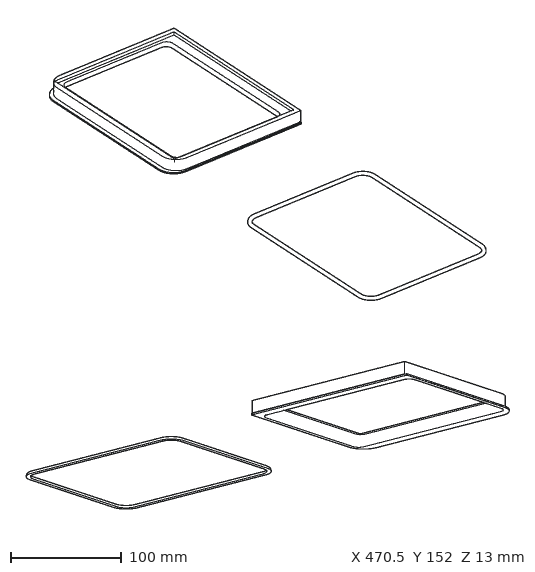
import cadquery as cq

TOTAL_LENGTH = 470.5
FRAME_LENGTH = 187.0
FRAME_DEPTH = 152.0
FRAME_HEIGHT = 13.0

FLANGE_THICKNESS = 1.5
FLANGE_SIDE_OVERHANG = 1.65
FLANGE_FRONT_OVERHANG = 4.0
FLANGE_BACK_INSET = 1.0
FLANGE_CORNER_RADIUS = 17.5

BODY_LENGTH = FRAME_LENGTH - 2 * FLANGE_SIDE_OVERHANG
BODY_DEPTH = FRAME_DEPTH - FLANGE_FRONT_OVERHANG
BODY_CORNER_RADIUS = 16.0

SIDE_WALL = 5.0
FRONT_WALL = 5.5
BACK_WALL = 4.0
RECESS_DEPTH = 3.5
RECESS_LENGTH = BODY_LENGTH - 2 * SIDE_WALL
RECESS_WIDTH = BODY_DEPTH - FRONT_WALL - BACK_WALL

WINDOW_SIDE_MARGIN = 10.5
WINDOW_END_MARGIN = 14.0
WINDOW_CORNER_RADIUS = 7.0
WINDOW_SIDE_FLARE = 6.0
WINDOW_END_FLARE = 4.0
WINDOW_LENGTH = FRAME_LENGTH - 2 * WINDOW_SIDE_MARGIN
WINDOW_DEPTH = FRAME_DEPTH - 2 * WINDOW_END_MARGIN
WINDOW_HEIGHT = FRAME_HEIGHT - RECESS_DEPTH

RING_LENGTH = 185.0
RING_DEPTH = 144.0
RING_SECTION_WIDTH = 4.0
RING_SIDE_HEIGHT = 1.0
RING_CORNER_RADIUS = 15.0
RING_FRONT_OFFSET = 3.0


def block(length, depth, height, front, bottom):
    """Box centred on the frame in X, with its front and bottom faces placed."""
    return (
        cq.Workplane("XY")
        .box(length, depth, height, centered=(True, False, False))
        .translate((FRAME_LENGTH / 2, front, bottom))
    )


def rounded_rectangle(length, depth):
    """Window outline centred on the origin, with rounded corners."""
    return cq.Sketch().rect(length, depth).vertices().fillet(WINDOW_CORNER_RADIUS)


def make_window_cutter():
    """Flared plug that opens the window from the underside to the recess floor."""
    bottom_outline = rounded_rectangle(
        WINDOW_LENGTH + 2 * WINDOW_SIDE_FLARE,
        WINDOW_DEPTH + 2 * WINDOW_END_FLARE,
    )
    top_outline = rounded_rectangle(WINDOW_LENGTH, WINDOW_DEPTH)
    return (
        cq.Workplane("XY", origin=(FRAME_LENGTH / 2, FRAME_DEPTH / 2, 0))
        .placeSketch(bottom_outline, top_outline.moved(cq.Location(cq.Vector(0, 0, WINDOW_HEIGHT))))
        .loft(ruled=True)
    )


def make_frame():
    flange = block(FRAME_LENGTH, FRAME_DEPTH - FLANGE_BACK_INSET, FLANGE_THICKNESS, 0, 0)
    flange = flange.edges("|Z and <Y").fillet(FLANGE_CORNER_RADIUS)

    body = block(
        BODY_LENGTH,
        BODY_DEPTH,
        FRAME_HEIGHT - FLANGE_THICKNESS,
        FLANGE_FRONT_OVERHANG,
        FLANGE_THICKNESS,
    )
    body = body.edges("|Z and <Y").fillet(BODY_CORNER_RADIUS)

    recess = block(
        RECESS_LENGTH,
        RECESS_WIDTH,
        RECESS_DEPTH,
        FLANGE_FRONT_OVERHANG + FRONT_WALL,
        FRAME_HEIGHT - RECESS_DEPTH,
    )

    return flange.union(body).cut(recess).cut(make_window_cutter())


def make_ring():
    """Round-topped section swept around a rounded rectangle, resting at Z = 0."""
    section_radius = RING_SECTION_WIDTH / 2
    half_length = RING_LENGTH / 2 - section_radius
    half_depth = RING_DEPTH / 2 - section_radius
    bend_radius = RING_CORNER_RADIUS - section_radius
    straight_x = half_length - bend_radius
    straight_y = half_depth - bend_radius

    path = (
        cq.Workplane("XY")
        .moveTo(0, -half_depth)
        .lineTo(straight_x, -half_depth)
        .radiusArc((half_length, -straight_y), -bend_radius)
        .lineTo(half_length, straight_y)
        .radiusArc((straight_x, half_depth), -bend_radius)
        .lineTo(-straight_x, half_depth)
        .radiusArc((-half_length, straight_y), -bend_radius)
        .lineTo(-half_length, -straight_y)
        .radiusArc((-straight_x, -half_depth), -bend_radius)
        .close()
    )
    section = (
        cq.Workplane("YZ")
        .center(-half_depth, 0)
        .moveTo(-section_radius, 0)
        .lineTo(section_radius, 0)
        .lineTo(section_radius, RING_SIDE_HEIGHT)
        .threePointArc((0, RING_SIDE_HEIGHT + section_radius), (-section_radius, RING_SIDE_HEIGHT))
        .close()
    )
    ring_center = (
        TOTAL_LENGTH - RING_LENGTH / 2,
        RING_FRONT_OFFSET + RING_DEPTH / 2,
        0,
    )
    return section.sweep(path).translate(ring_center)


frame = make_frame()
ring = make_ring()

result = cq.Compound.makeCompound([frame.val(), ring.val()])